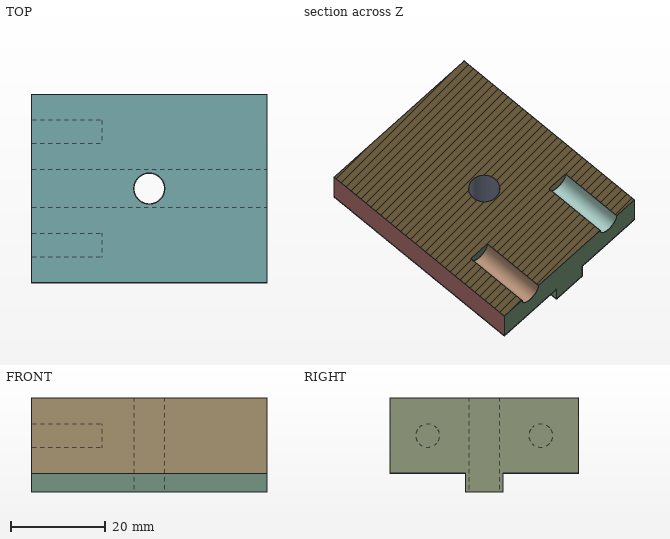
import cadquery as cq

length = 50.0
width = 40.0
height = 20.0

rail_width = 8.0
rail_height = 4.0
body_height = height - rail_height

center_hole_diameter = 6.5

end_hole_diameter = 5.0
end_hole_spacing = 24.0
end_hole_depth = 15.0


def make_block():
    """Rectangular body with a full-length rail below it; the rail bottom is at Z = 0."""
    on_base = (True, True, False)
    body = cq.Workplane("XY").workplane(offset=rail_height).box(length, width, body_height, centered=on_base)
    rail = cq.Workplane("XY").box(length, rail_width, rail_height, centered=on_base)
    return body.union(rail)


def make_center_hole():
    """Cylinder running through the body and the rail."""
    return cq.Workplane("XY").circle(center_hole_diameter / 2).extrude(height)


def make_end_holes():
    """Two flat-bottomed cylinders at mid-height of the body, entering from the -X end."""
    hole_z = rail_height + body_height / 2
    half_spacing = end_hole_spacing / 2
    return (
        cq.Workplane("YZ", origin=(-length / 2, 0, hole_z))
        .pushPoints([(-half_spacing, 0), (half_spacing, 0)])
        .circle(end_hole_diameter / 2)
        .extrude(end_hole_depth)
    )


result = make_block().cut(make_center_hole()).cut(make_end_holes())